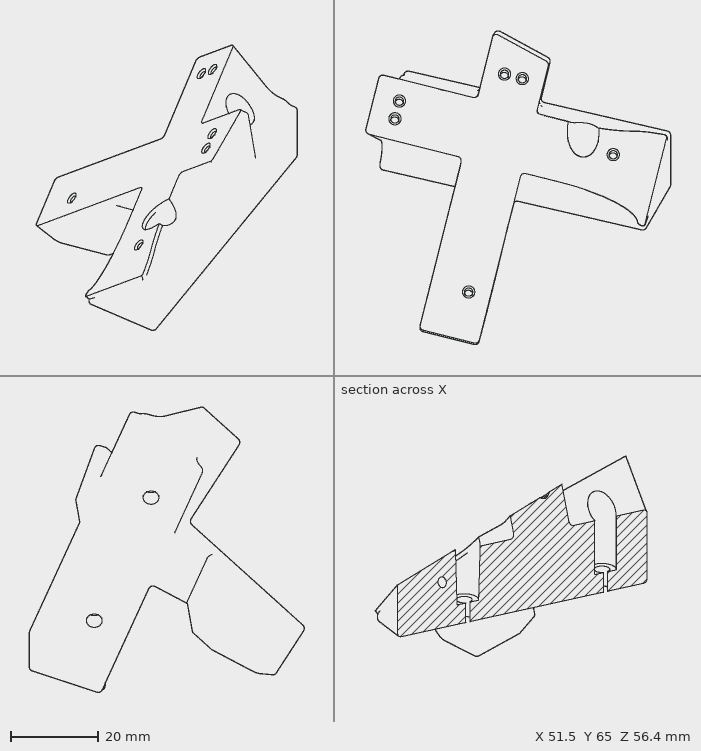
import cadquery as cq
import math

LENGTH = 65.0
TILT = 15.0
FACE_RISE = 33.1
CENTRE_SUM = 1.0
BAR_WIDTH = 14.0
EDGE_RADIUS = 1.0

BAR_LOW_SIDE = -3.35
BAR_LOW_END = -47.6
BAR_DEPTH = 16.0
BAR_END_DEPTH = 6.91
BAR_END_RADIUS = 4.0
LEG_X = -27.15
TONGUE = 2.0

FLANK_RADIUS = 5.0
LOW_BLEND_Z = 9.1
HIGH_BLEND_X = -4.65
FOOT_REACH = 17.9
WALL_REACH = 16.6
WALL_LIP = 2.15
PAD_DEPTH = 1.0

PILOT_DIAMETER = 1.9
PILOT_MOUTH = 2.8
PILOT_DEPTH = 8.0
PILOT_SPACING = 50.5
PILOT_PAIR_PITCH = 4.2
PILOT_ROW_V = 1.7
PILOT_HIGH_U = 13.95
PILOT_HIGH_V = 27.75

SCREW_X = -9.2
SCREW_OPEN_Y = 21.6
SCREW_FACE_Y = -14.2
SCREW_DIAMETER = 3.6
HEAD_DIAMETER = 6.5
HEAD_SEAT_Z = 5.0
HEAD_MOUTH_DIAMETER = 7.2
HEAD_MOUTH_Z = 18.0

BIG = 200.0
TOLERANCE = 0.01
SQRT2 = math.sqrt(2.0)
COS_TILT = math.cos(math.radians(TILT))
SIN_TILT = math.sin(math.radians(TILT))

FACE = cq.Plane(
    origin=((CENTRE_SUM - FACE_RISE) / 2, 0, (CENTRE_SUM + FACE_RISE) / 2),
    xDir=(1, 0, 1),
    normal=(-COS_TILT, -SIN_TILT * SQRT2, COS_TILT),
)


def face_section(u, v):
    """Plane square to the face: x along the long bar, y outward from the face."""
    return cq.Plane(origin=FACE.toWorldCoords((u, v, 0)).toTuple(), xDir=FACE.xDir, normal=FACE.yDir * -1)


def trim_to_face(part):
    return part.cut(cq.Workplane(FACE).rect(BIG, BIG).extrude(BIG))


def off_face(edge):
    """True unless the whole edge lies in the cross face."""
    return any(FACE.toLocalCoords(edge.positionAt(t)).z < -TOLERANCE for t in (0, 0.5, 1))


def in_notch_corner(edge):
    """True for the sharp inner corner between the leg and the Z = 0 plane."""
    middle = edge.positionAt(0.5)
    return abs(middle.x - LEG_X) < TOLERANCE and abs(middle.z) < TOLERANCE


def round_off_face(part):
    solid = part.val()
    edges = [e for e in solid.Edges() if off_face(e) and not in_notch_corner(e)]
    return cq.Workplane(solid.fillet(EDGE_RADIUS, edges))


def corner_base():
    """Stem with a plate on Z = 0 and one on X = 0, a constant section along Y."""
    half_sum = BAR_WIDTH / SQRT2
    inset = FLANK_RADIUS / SQRT2
    low_x = CENTRE_SUM - half_sum - LOW_BLEND_Z
    low_centre_x = low_x - inset
    low_centre_z = LOW_BLEND_Z - inset
    foot_edge_z = low_centre_z - math.sqrt(FLANK_RADIUS**2 - (FOOT_REACH + low_centre_x) ** 2)
    high_x = HIGH_BLEND_X - inset
    high_z = CENTRE_SUM + half_sum - high_x
    level_z = high_z - (FLANK_RADIUS - inset)
    stem_rise = BIG / 4
    section = (
        cq.Workplane("XZ", origin=(0, LENGTH / 2, 0))
        .lineTo(-FOOT_REACH, 0)
        .lineTo(-FOOT_REACH, foot_edge_z)
        .threePointArc((low_centre_x + FLANK_RADIUS, low_centre_z), (low_x, LOW_BLEND_Z))
        .lineTo(low_x - stem_rise, LOW_BLEND_Z + stem_rise)
        .lineTo(high_x - stem_rise, high_z + stem_rise)
        .lineTo(high_x, high_z)
        .tangentArcPoint((HIGH_BLEND_X, level_z), relative=False)
        .tangentArcPoint((-WALL_LIP, WALL_REACH), relative=False)
        .lineTo(0, WALL_REACH)
        .close()
    )
    return round_off_face(trim_to_face(section.extrude(LENGTH)))


def raise_slice(part):
    """Slice the part PAD_DEPTH below the face and raise the slice square to the face."""
    sheet = cq.Face.makePlane(BIG, BIG, FACE.toWorldCoords((0, 0, -PAD_DEPTH)), FACE.zDir)
    outline = part.val().intersect(sheet).Faces()[0]
    return cq.Workplane(cq.Solid.extrudeLinear(outline, FACE.zDir * PAD_DEPTH))


def face_pad(base):
    """Straight-walled lip under the face of the -Y arm."""
    minus_y_half = cq.Workplane("XY").box(BIG, LENGTH / 2, BIG).translate((0, -LENGTH / 4, 0))
    return raise_slice(base).intersect(minus_y_half)


def long_bar():
    """Bar square to the face, with the hanging leg and a straight tongue against X = 0."""
    underside_run = (BAR_DEPTH - BAR_END_DEPTH) * COS_TILT
    high_end = BIG / 4
    end_corner = FACE.toWorldCoords((BAR_LOW_END, BAR_LOW_SIDE + BAR_WIDTH / 2, -BAR_END_DEPTH))
    bar = (
        cq.Workplane(face_section(0, BAR_LOW_SIDE))
        .moveTo(BAR_LOW_END, 0)
        .lineTo(BAR_LOW_END, -BAR_END_DEPTH)
        .lineTo(BAR_LOW_END + underside_run, -BAR_DEPTH)
        .lineTo(high_end, -BAR_DEPTH)
        .lineTo(high_end, 0)
        .close()
        .extrude(-BAR_WIDTH)
        .edges(cq.selectors.NearestToPointSelector(end_corner.toTuple()))
        .fillet(BAR_END_RADIUS)
    )
    block = cq.Workplane("XY").box(BIG, BIG, BIG, centered=(False, True, False))
    bar = bar.cut(block.translate((LEG_X, 0, -BIG)))
    bar = bar.cut(block.translate((-TONGUE, 0, -BIG / 2)))
    tongue = bar.faces(">X").wires().toPending().workplane().extrude(TONGUE, combine=False)
    return round_off_face(bar.union(tongue))


def blend_inner_corners(part):
    """Round the four inner corners where the bars of the cross meet."""
    solid = part.solids().val()
    candidates = [e for e in solid.Edges() if off_face(e)]
    corners = []
    for u in (-BAR_WIDTH / 2, BAR_WIDTH / 2):
        for v in (BAR_LOW_SIDE, BAR_LOW_SIDE + BAR_WIDTH):
            below_face = FACE.toWorldCoords((u, v, -PAD_DEPTH))
            corners.append(min(candidates, key=cq.Vertex.makeVertex(*below_face.toTuple()).distance))
    return cq.Workplane(solid.fillet(EDGE_RADIUS, corners))


def screw_hole(y, mouth_diameter):
    """Screw shank with a head bore that widens to mouth_diameter at HEAD_MOUTH_Z."""
    axis = cq.Vector(SCREW_X, y, 0)
    seat = cq.Vector(SCREW_X, y, HEAD_SEAT_Z)
    shank = cq.Workplane(cq.Solid.makeCylinder(SCREW_DIAMETER / 2, HEAD_SEAT_Z, axis))
    widening = (mouth_diameter - HEAD_DIAMETER) / (HEAD_MOUTH_Z - HEAD_SEAT_Z)
    height = BIG / 4
    profile = [
        (0, 0),
        (HEAD_DIAMETER / 2, 0),
        (HEAD_DIAMETER / 2 + height * widening / 2, height),
        (0, height),
    ]
    head = cq.Workplane("XZ", origin=seat.toTuple()).polyline(profile).close().revolve(360, (0, 0), (0, 1))
    return shank.union(head)


def pilot_hole(u, v):
    sink = (PILOT_MOUTH - PILOT_DIAMETER) / 2
    half_profile = [
        (0, 0),
        (PILOT_MOUTH / 2, 0),
        (PILOT_DIAMETER / 2, -sink),
        (PILOT_DIAMETER / 2, -PILOT_DEPTH),
        (0, -PILOT_DEPTH),
    ]
    return cq.Workplane(face_section(u, v)).polyline(half_profile).close().revolve(360, (0, 0), (0, 1))


def pilot_positions():
    low_v = PILOT_HIGH_V - PILOT_SPACING
    return [
        (PILOT_PAIR_PITCH / 2, PILOT_HIGH_V),
        (-PILOT_PAIR_PITCH / 2, PILOT_HIGH_V),
        (PILOT_PAIR_PITCH / 2, low_v),
        (PILOT_HIGH_U, PILOT_ROW_V),
        (PILOT_HIGH_U, PILOT_ROW_V + PILOT_PAIR_PITCH),
        (PILOT_HIGH_U - PILOT_SPACING, PILOT_ROW_V),
    ]


base = corner_base()
bracket = blend_inner_corners(base.union(face_pad(base)).union(long_bar()))
bracket = bracket.cut(screw_hole(SCREW_OPEN_Y, HEAD_DIAMETER))
face_screw = screw_hole(SCREW_FACE_Y, HEAD_MOUTH_DIAMETER)
bracket = bracket.cut(face_screw).cut(raise_slice(face_screw))
for position in pilot_positions():
    bracket = bracket.cut(pilot_hole(*position))
result = cq.Workplane(bracket.solids().val())